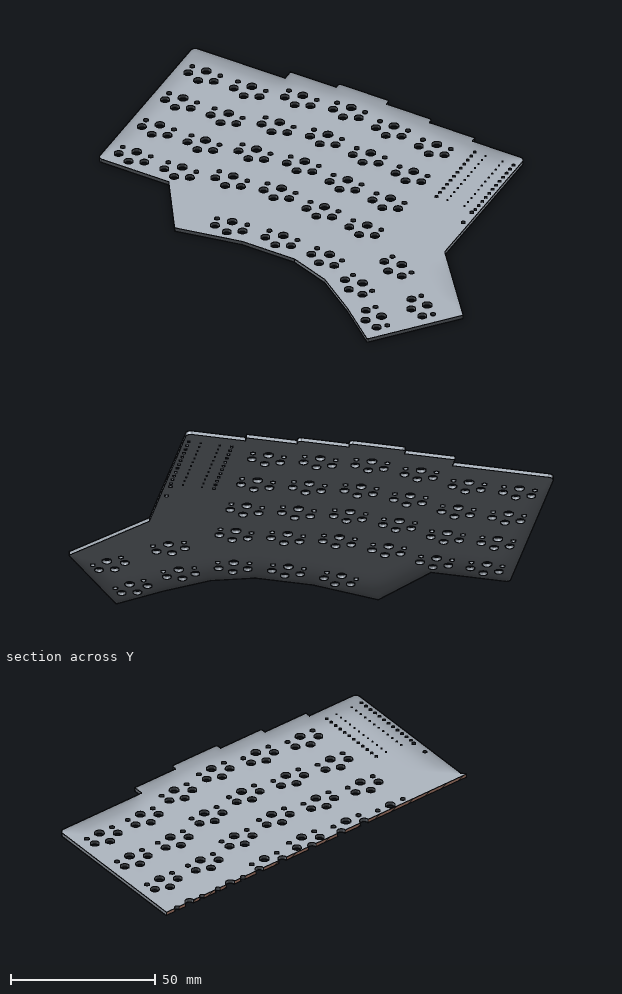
import cadquery as cq
import math

thickness = 1.5

column_staggers = [0, 0, 4.0, 6.0, 4.0, 2.0]
row_count = 4
grid_length = 89.7
grid_height = 50.9
column_pitch = grid_length / (len(column_staggers) - 1)
row_pitch = grid_height / (row_count - 1)
first_column_x = -66.1
bottom_row_y = -6.4
side_margin = 10.0
end_margin = 9.5

thumb_keys = [
    (-18.6, -24.9, 10),
    (0.6, -23.2, 0),
    (19.7, -24.9, -10),
    (37.3, -33.5, -25),
    (51.8, -46.6, -40),
    (44.5, -18.0, -25),
    (62.8, -33.6, -40),
]

stem_diameter = 3.4
contact_diameter = 3.0
peg_diameter = 1.7
peg_offset = 5.5
side_contact_x = 5.0
side_contact_y = -3.8
end_contact_y = -6.0

pin_count = 12
pin_row_length = 28.0
pin_pitch = pin_row_length / (pin_count - 1)
top_pin_y = 48.9
controller_x = 44.8
pin_row_spacing = 15.3
via_row_spacing = 6.7
pin_diameter = 1.0
via_diameter = 0.4

button_hole_diameter = 1.3
button_x = 52.1
button_top_y = 19.0
button_spacing = 6.3

plate_length = 152.8
plate_width = 120.1
right_edge_x = 54.2
right_edge_bottom_y = -4.7
thumb_right_corner = (76.5, -32.7)
thumb_bottom_corner = (53.5, -60.2)
fan_corners = [(39.4, -48.5), (24.9, -38.0), (10.2, -33.0), (-10.4, -33.0)]
fan_left_corner = (-34.5, -37.5)
left_block_corner_x = -48.5
corner_radius = 1.8
tab_radius = 1.0
bottom_corner_radius = 1.5
tip_radius = 0.5


def column_x(column):
    return first_column_x + column * column_pitch


def column_top_y(column):
    top_key_y = bottom_row_y + column_staggers[column] + grid_height
    return top_key_y + end_margin


def plate():
    left = -plate_length / 2
    bottom = bottom_row_y - end_margin
    shoulder_y = column_top_y(0)
    tab_left = column_x(3) - side_margin
    tab_right = column_x(3) + side_margin
    outline = [
        (left, bottom),
        (left, shoulder_y),
        (column_x(2) - side_margin, shoulder_y),
        (column_x(2) - side_margin, column_top_y(2)),
        (tab_left, column_top_y(2)),
        (tab_left, plate_width / 2),
        (tab_right, plate_width / 2),
        (tab_right, column_top_y(4)),
        (column_x(4) + side_margin, column_top_y(4)),
        (column_x(4) + side_margin, column_top_y(5)),
        (column_x(5) + side_margin, column_top_y(5)),
        (column_x(5) + side_margin, shoulder_y),
        (right_edge_x, shoulder_y),
        (right_edge_x, right_edge_bottom_y),
        thumb_right_corner,
        thumb_bottom_corner,
        *fan_corners,
        fan_left_corner,
        (left_block_corner_x, bottom),
    ]
    body = cq.Workplane("XY").polyline(outline).close().extrude(thickness)
    rounded_corners = [
        ((left, bottom), bottom_corner_radius),
        ((left, shoulder_y), corner_radius),
        ((right_edge_x, shoulder_y), corner_radius),
        ((tab_left, plate_width / 2), tab_radius),
        ((tab_right, plate_width / 2), tab_radius),
        ((column_x(4) + side_margin, column_top_y(4)), tab_radius),
        (thumb_right_corner, tip_radius),
        (thumb_bottom_corner, tip_radius),
        (fan_left_corner, tip_radius),
    ]
    for corner, radius in rounded_corners:
        edge = cq.selectors.NearestToPointSelector((*corner, thickness / 2))
        body = body.edges("|Z").edges(edge).fillet(radius)
    return body


def drill(body, points, diameter):
    cutter = cq.Workplane("XY").pushPoints(points).circle(diameter / 2).extrude(thickness)
    return body.cut(cutter)


def on_key(key, offset):
    x, y, degrees = key
    angle = math.radians(degrees)
    dx, dy = offset
    return (
        x + dx * math.cos(angle) - dy * math.sin(angle),
        y + dx * math.sin(angle) + dy * math.cos(angle),
    )


def cut_keys(body):
    keys = list(thumb_keys)
    for column, stagger in enumerate(column_staggers):
        for row in range(row_count):
            keys.append((column_x(column), bottom_row_y + stagger + row * row_pitch, 0))
    contacts = [(-side_contact_x, side_contact_y), (side_contact_x, side_contact_y), (0, end_contact_y)]
    pegs = [(-peg_offset, 0), (peg_offset, 0)]
    hole_sets = [([(0, 0)], stem_diameter), (contacts, contact_diameter), (pegs, peg_diameter)]
    for offsets, diameter in hole_sets:
        points = [on_key(key, offset) for key in keys for offset in offsets]
        body = drill(body, points, diameter)
    return body


def cut_controller_holes(body):
    hole_rows = [
        (-pin_row_spacing / 2, pin_diameter),
        (-via_row_spacing / 2, via_diameter),
        (via_row_spacing / 2, via_diameter),
        (pin_row_spacing / 2, pin_diameter),
    ]
    for offset_x, diameter in hole_rows:
        points = [(controller_x + offset_x, top_pin_y - i * pin_pitch) for i in range(pin_count)]
        body = drill(body, points, diameter)
    return body


def cut_button_holes(body):
    points = [(button_x, button_top_y), (button_x, button_top_y - button_spacing)]
    return drill(body, points, button_hole_diameter)


result = cut_button_holes(cut_controller_holes(cut_keys(plate())))